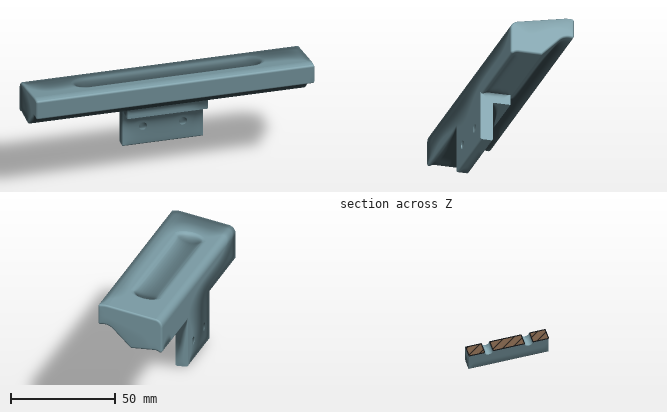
import cadquery as cq
import math

bar_length = 138.5
bar_depth = 31.9
total_height = 46.0
end_round = 1.0

top_slope = math.radians(11.3)
back_round = 4.2
crown_radius = 12.5
crown_x = 29.5
edge_round = 1.0

underside_z = 25.0
lip_width = 4.0
lip_radius = 4.2
ramp_start_x = 15.7
ramp_angle = math.radians(45)
hollow_radius = 6.9
hollow_top_z = 36.0

middle_y = 0.5

groove_x = 15.2
groove_length = 80.3
groove_radius = 10.0
groove_depth = 2.6
groove_rim_round = 3.0

plate_width = 40.0
plate_thickness = 6.2
plate_end_round = 1.0
ledge_depth = 15.0
ledge_z = 20.0
plate_top_z = 27.7
hole_diameter = 4.0
hole_spacing = 20.0
hole_z = 10.0

crown_center_z = total_height - crown_radius
slope_end_x = crown_x - crown_radius * math.sin(top_slope)
slope_end_z = crown_center_z + crown_radius * math.cos(top_slope)


def slope_z(x):
    """Height of the sloping flat at depth x."""
    return slope_end_z - (slope_end_x - x) * math.tan(top_slope)


def crown_z(x):
    """Height of the crown at depth x."""
    return crown_center_z + math.sqrt(crown_radius**2 - (x - crown_x) ** 2)


hollow_center_z = hollow_top_z - hollow_radius
ramp_end_z = hollow_center_z + hollow_radius * math.cos(ramp_angle)
ramp_end_x = ramp_start_x + (ramp_end_z - underside_z) / math.tan(ramp_angle)
hollow_x = ramp_end_x + hollow_radius * math.sin(ramp_angle)
hollow_front_z = hollow_center_z + math.sqrt(hollow_radius**2 - (bar_depth - hollow_x) ** 2)


def lip_z(x):
    """Height of the lip, an arc that leaves the flat underside tangentially."""
    return underside_z - lip_radius + math.sqrt(lip_radius**2 - (lip_width - x) ** 2)


def along_y(profile, start, length):
    """Extrude an XZ profile along +Y from the given start."""
    return profile.extrude(-length).translate((0, start, 0))


def make_bar():
    crown_middle_x = (slope_end_x + bar_depth) / 2
    profile = (
        cq.Workplane("XZ")
        .moveTo(0, slope_z(0))
        .lineTo(slope_end_x, slope_end_z)
        .threePointArc((crown_middle_x, crown_z(crown_middle_x)), (bar_depth, crown_z(bar_depth)))
        .lineTo(bar_depth, hollow_front_z)
        .threePointArc((hollow_x, hollow_top_z), (ramp_end_x, ramp_end_z))
        .lineTo(ramp_start_x, underside_z)
        .lineTo(lip_width, underside_z)
        .threePointArc((lip_width / 2, lip_z(lip_width / 2)), (0, lip_z(0)))
        .close()
    )
    bar = along_y(profile, -bar_length / 2, bar_length)
    bar = bar.edges(cq.NearestToPointSelector((0, 0, slope_z(0)))).fillet(back_round)
    bar = bar.edges("|Y and (>X or <Z)").fillet(edge_round)
    return bar.faces("<Y or >Y").edges().fillet(end_round)


def make_groove():
    """Round-ended scoop: a cylinder with spherical ends, its axis above the slope."""
    lift = groove_radius - groove_depth
    axis_x = groove_x - lift * math.sin(top_slope)
    axis_z = slope_z(groove_x) + lift * math.cos(top_slope)
    start_y = middle_y - groove_length / 2
    scoop = along_y(cq.Workplane("XZ").circle(groove_radius), start_y, groove_length)
    for end_y in (start_y, start_y + groove_length):
        scoop = scoop.union(cq.Workplane("XY").sphere(groove_radius).translate((0, end_y, 0)))
    return scoop.translate((axis_x, 0, axis_z))


def make_plate():
    profile = (
        cq.Workplane("XZ")
        .polyline(
            [
                (0, 0),
                (plate_thickness, 0),
                (plate_thickness, ledge_z),
                (ledge_depth, ledge_z),
                (ledge_depth, plate_top_z),
                (0, plate_top_z),
            ]
        )
        .close()
    )
    plate = along_y(profile, middle_y - plate_width / 2, plate_width)
    plate = plate.edges("|Y and <Z").fillet(plate_end_round)
    holes = (
        cq.Workplane("YZ")
        .pushPoints([(middle_y + side * hole_spacing / 2, hole_z) for side in (-1, 1)])
        .circle(hole_diameter / 2)
        .extrude(plate_thickness)
    )
    return plate.cut(holes)


bar = make_bar().cut(make_groove())
slope_normal = cq.Vector(-math.sin(top_slope), 0, math.cos(top_slope))
slope_face = bar.faces(cq.ParallelDirSelector(slope_normal)).val()
groove_rim = slope_face.innerWires()[0].Edges()
bar = bar.newObject(groove_rim).fillet(groove_rim_round)

result = bar.union(make_plate())